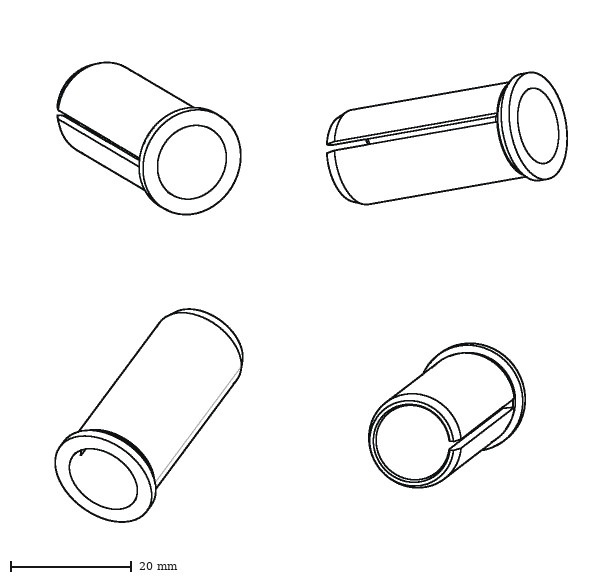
import cadquery as cq

length = 37.0
flange_radius = 9.0
flange_thickness = 1.55
body_radius = 8.0
bore_radius = 6.33

groove_radius = 7.75
groove_width = 1.48

nose_length = 2.0
nose_radius = 7.25
mouth_depth = 0.6
mouth_radius = 6.62

slot_width = 1.5
slot_end_slope_length = 1.25

flange_start = length - flange_thickness
body_end = flange_start - groove_width


def make_sleeve():
    """Revolve the wall profile, drawn as (x, radius), around the X axis."""
    profile = [
        (0, mouth_radius),
        (0, nose_radius),
        (nose_length, body_radius),
        (body_end, body_radius),
        (body_end, groove_radius),
        (flange_start, groove_radius),
        (flange_start, flange_radius),
        (length, flange_radius),
        (length, bore_radius),
        (mouth_depth, bore_radius),
    ]
    return cq.Workplane("XY").polyline(profile).close().revolve(360, (0, 0, 0), (1, 0, 0))


def make_slot():
    """Slot cutter whose far end slopes from the bore out to the groove floor."""
    profile = [
        (0, 0),
        (0, -body_radius),
        (body_end, -body_radius),
        (body_end, -groove_radius),
        (body_end - slot_end_slope_length, -bore_radius),
        (body_end - slot_end_slope_length, 0),
    ]
    return cq.Workplane("XY").polyline(profile).close().extrude(slot_width / 2, both=True)


result = make_sleeve().cut(make_slot())